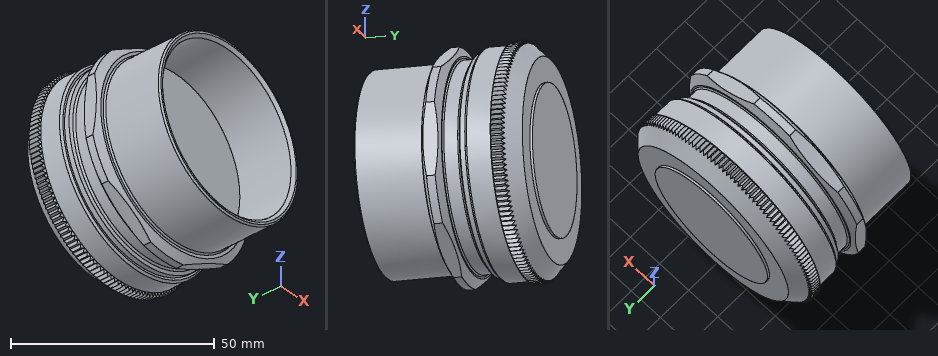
import cadquery as cq
import math


tube_radius = 52.4 / 2
bore_radius = 48.4 / 2
bore_depth = 17.55
rim_outer_chamfer = 0.5
rim_inner_chamfer = 0.9

collar_radius = 30.05
collar_face_radius = 27.5
collar_start = 18.05
collar_land_start = 19.45
collar_land_end = 21.65
collar_end = collar_land_end + (collar_land_start - collar_start)
collar_flat_distance = 28.55
collar_rotation = 2.0
collar_sides = 6

lead_height = 0.4
tube_lead_length = 0.5
neck_lead_length = 0.35

neck_radius = 26.6
neck_end = 27.0
shoulder_radius = 56.0 / 2
shoulder_start = 27.95
shoulder_break_radius = 27.1
shoulder_break = 27.5

nut_radius = 58.5 / 2
nut_start = 29.4
nut_chamfer = 0.6
nut_face_radius = 25.85
nut_face = 43.35

knurl_radius = 30.2
knurl_root_radius = 29.35
knurl_start = 36.1
knurl_start_slope = 0.5
knurl_tip_end = nut_face - (knurl_radius - nut_face_radius)
knurl_teeth = 140
knurl_rotation = 0.95

pad_radius = 19.3
total_length = 44.0


def revolved(points):
    """Turn a closed outline of (radius, y) points about the Y axis."""
    return cq.Workplane("XY").polyline(points).close().revolve(360, (0, 0, 0), (0, 1, 0))


def prism(points, start, end):
    """Extrude a closed outline of (x, z) points along Y from start to end."""
    plane = cq.Plane(origin=(0, start, 0), xDir=(1, 0, 0), normal=(0, -1, 0))
    return cq.Workplane(plane).polyline(points).close().extrude(start - end)


def polar(radius, degrees):
    angle = math.radians(degrees)
    return (radius * math.cos(angle), radius * math.sin(angle))


def make_core():
    """Turned core: socket tube, neck, shoulder and plain part of the nut."""
    return revolved([
        (0, 0),
        (tube_radius - rim_outer_chamfer, 0),
        (tube_radius, rim_outer_chamfer),
        (tube_radius, collar_start - tube_lead_length),
        (tube_radius + lead_height, collar_start),
        (neck_radius + lead_height, collar_end),
        (neck_radius, collar_end + neck_lead_length),
        (neck_radius, neck_end),
        (shoulder_break_radius, shoulder_break),
        (shoulder_radius, shoulder_start),
        (shoulder_radius, nut_start),
        (nut_radius - nut_chamfer, nut_start),
        (nut_radius, nut_start + nut_chamfer),
        (nut_radius, knurl_start),
        (0, knurl_start),
    ])


def make_collar():
    """Round collar, chamfered on both faces and cut by six flats."""
    turned = revolved([
        (0, collar_start),
        (collar_face_radius, collar_start),
        (collar_radius, collar_land_start),
        (collar_radius, collar_land_end),
        (collar_face_radius, collar_end),
        (0, collar_end),
    ])
    step = 360 / collar_sides
    corner_radius = collar_flat_distance / math.cos(math.radians(step / 2))
    corners = [polar(corner_radius, (i + 0.5) * step - collar_rotation) for i in range(collar_sides)]
    return turned.intersect(prism(corners, collar_start, collar_end))


def make_knurled_cap():
    """Conical cap whose rim is cut into V-shaped teeth with sloped ends."""
    turned = revolved([
        (0, knurl_start),
        (nut_radius, knurl_start),
        (knurl_radius, knurl_start + knurl_start_slope),
        (knurl_radius, knurl_tip_end),
        (nut_face_radius, nut_face),
        (0, nut_face),
    ])
    pitch = 360 / knurl_teeth
    outline = []
    for i in range(knurl_teeth):
        tip_angle = knurl_rotation + i * pitch
        outline.append(polar(knurl_radius, tip_angle))
        outline.append(polar(knurl_root_radius, tip_angle + pitch / 2))
    return turned.intersect(prism(outline, knurl_start, nut_face))


def make_pad():
    """Round pad standing on the cap face."""
    return revolved([
        (0, nut_face),
        (pad_radius, nut_face),
        (pad_radius, total_length),
        (0, total_length),
    ])


def make_bore():
    """Blind bore with a chamfered mouth."""
    return revolved([
        (0, 0),
        (bore_radius + rim_inner_chamfer, 0),
        (bore_radius, rim_inner_chamfer),
        (bore_radius, bore_depth),
        (0, bore_depth),
    ])


result = (
    make_core()
    .union(make_collar())
    .union(make_knurled_cap())
    .union(make_pad())
    .cut(make_bore())
)